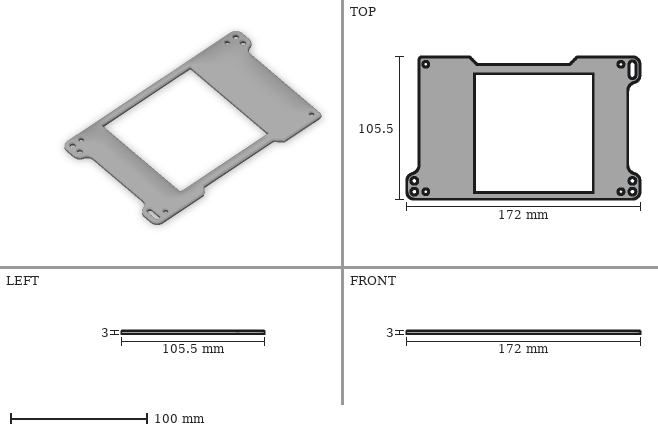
import cadquery as cq
import math

length = 172.0
width = 105.5
thickness = 3.0
chamfer = 1.0

ear_depth = 9.0
corner_radius = 6.0
plain_corner_radius = 3.0
ear_pitch = 7.9
notch_inset = 46.6
notch_depth = 5.7

window_size = 86.0
window_left = 50.7
window_bottom = 6.0

small_hole_diameter = 3.3
large_hole_diameter = 4.0
small_hole_inset = 14.5
small_hole_edge = 6.0

side_left = ear_depth
side_right = length - ear_depth
ear_left = corner_radius
ear_right = length - corner_radius
low_ear_bottom = corner_radius
low_ear_top = low_ear_bottom + ear_pitch
high_ear_top = width - corner_radius
high_ear_bottom = high_ear_top - ear_pitch

blend_run = 2 * corner_radius - ear_depth
blend_rise = math.sqrt((2 * corner_radius) ** 2 - blend_run ** 2)
low_blend = low_ear_top + blend_rise
high_blend = high_ear_bottom - blend_rise
blend_left = side_left - corner_radius
blend_right = side_right + corner_radius


def on_circle(x, y, degrees, radius=corner_radius):
    """Point on a circle centred at (x, y)."""
    angle = math.radians(degrees)
    return (x + radius * math.cos(angle), y + radius * math.sin(angle))


def make_outline():
    """Plate outline, counter-clockwise from the front left ear."""
    lean = math.degrees(math.atan2(blend_rise, blend_run))
    join_right = on_circle(ear_right, low_ear_top, lean)
    join_high = on_circle(ear_right, high_ear_bottom, -lean)
    join_left = on_circle(ear_left, low_ear_top, 180 - lean)
    half = lean / 2
    plain = plain_corner_radius
    return (
        cq.Workplane("XY")
        .moveTo(ear_left, 0)
        .lineTo(ear_right, 0)
        .threePointArc(on_circle(ear_right, low_ear_bottom, -45), (length, low_ear_bottom))
        .lineTo(length, low_ear_top)
        .threePointArc(on_circle(ear_right, low_ear_top, half), join_right)
        .threePointArc(on_circle(blend_right, low_blend, 180 + half), (side_right, low_blend))
        .lineTo(side_right, high_blend)
        .threePointArc(on_circle(blend_right, high_blend, 180 - half), join_high)
        .threePointArc(on_circle(ear_right, high_ear_bottom, -half), (length, high_ear_bottom))
        .lineTo(length, high_ear_top)
        .threePointArc(on_circle(ear_right, high_ear_top, 45), (ear_right, width))
        .lineTo(length - notch_inset, width)
        .lineTo(length - notch_inset - notch_depth, width - notch_depth)
        .lineTo(notch_inset + notch_depth, width - notch_depth)
        .lineTo(notch_inset, width)
        .lineTo(side_left + plain, width)
        .threePointArc(
            on_circle(side_left + plain, width - plain, 135, plain),
            (side_left, width - plain),
        )
        .lineTo(side_left, low_blend)
        .threePointArc(on_circle(blend_left, low_blend, -half), join_left)
        .threePointArc(on_circle(ear_left, low_ear_top, 180 - half), (0, low_ear_top))
        .lineTo(0, low_ear_bottom)
        .threePointArc(on_circle(ear_left, low_ear_bottom, 225), (ear_left, 0))
        .close()
    )


def make_window():
    """Square through cutter for the window."""
    return (
        cq.Workplane("XY")
        .moveTo(window_left, window_bottom)
        .rect(window_size, window_size, centered=False)
        .extrude(thickness)
    )


def make_holes(points, diameter):
    """Round through cutters at the given points."""
    return cq.Workplane("XY").pushPoints(points).circle(diameter / 2).extrude(thickness)


def make_slot():
    """Through cutter for the slot in the rear right ear, as wide as a large hole."""
    return (
        cq.Workplane("XY")
        .center(ear_right, (high_ear_bottom + high_ear_top) / 2)
        .slot2D(ear_pitch + large_hole_diameter, large_hole_diameter, 90)
        .extrude(thickness)
    )


small_holes = [
    (x, y)
    for x in (small_hole_inset, length - small_hole_inset)
    for y in (small_hole_edge, width - small_hole_edge)
]

large_holes = [
    (x, y)
    for x in (ear_left, ear_right)
    for y in (low_ear_bottom, low_ear_top)
]

plate = (
    make_outline()
    .extrude(thickness)
    .cut(make_window())
    .cut(make_holes(small_holes, small_hole_diameter))
    .cut(make_holes(large_holes, large_hole_diameter))
    .cut(make_slot())
)

result = plate.faces(">Z").edges().chamfer(chamfer)